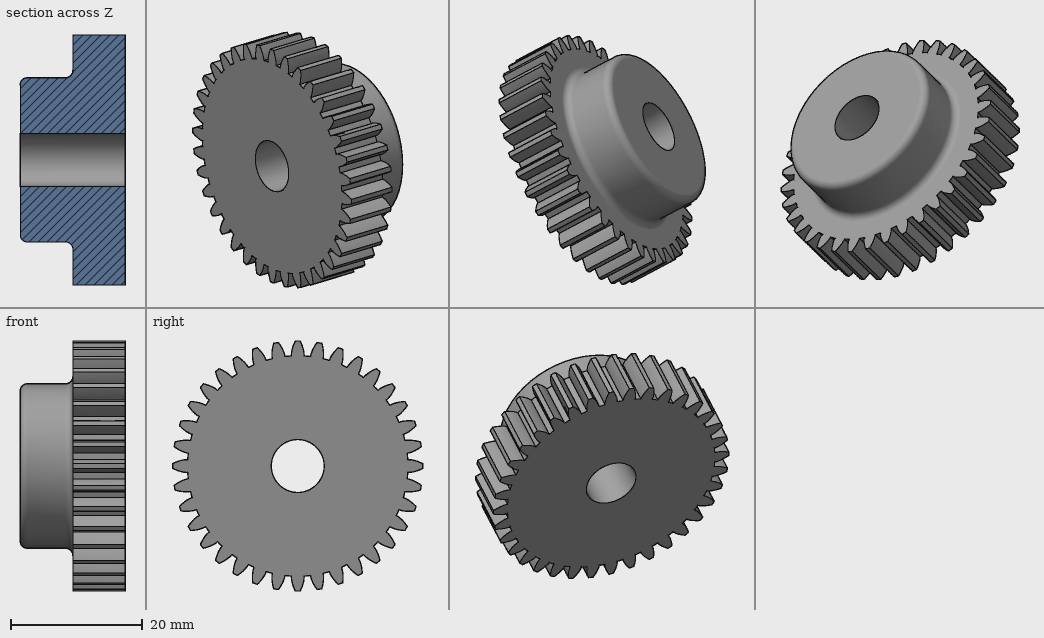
import cadquery as cq
import math

module = 1.0
tooth_count = 36
addendum = module
dedendum = 1.25 * module
pressure_angle = math.radians(20)
pitch_radius = module * tooth_count / 2
tip_radius = pitch_radius + addendum
root_radius = pitch_radius - dedendum
base_radius = pitch_radius * math.cos(pressure_angle)
tooth_pitch = 2 * math.pi / tooth_count
flank_points = 6

overall_length = 16.0
rim_width = 8.0
hub_length = overall_length - rim_width
hub_diameter = 25.0
hub_blend = 1.1
bore_diameter = 8.0

hub_end_x = -hub_length


def involute(angle):
    """Polar angle swept by the involute where its pressure angle is the given angle."""
    return math.tan(angle) - angle


def half_tooth_angle(radius):
    """Half the angle that a tooth spans at a radius on its involute flank."""
    flank_angle = math.acos(base_radius / radius)
    return tooth_pitch / 4 + involute(pressure_angle) - involute(flank_angle)


def polar(radius, angle):
    return (radius * math.cos(angle), radius * math.sin(angle))


def flank(centre, side):
    """Points up one involute flank, from the base circle to the tip circle."""
    step = (tip_radius - base_radius) / (flank_points - 1)
    radii = [base_radius + i * step for i in range(flank_points)]
    return [polar(r, centre + side * half_tooth_angle(r)) for r in radii]


def toothed_rim():
    """Spur gear with one tooth centred on +Y; flanks run radially below the base circle."""
    half_base = half_tooth_angle(base_radius)
    profile = cq.Workplane("YZ").moveTo(*polar(root_radius, -half_base))
    for i in range(tooth_count):
        centre = i * tooth_pitch
        rising = flank(centre, -1)
        falling = flank(centre, 1)[::-1]
        profile = profile.lineTo(*rising[0])
        profile = profile.spline(rising[1:], includeCurrent=True)
        profile = profile.threePointArc(polar(tip_radius, centre), falling[0])
        profile = profile.spline(falling[1:], includeCurrent=True)
        profile = profile.lineTo(*polar(root_radius, centre + half_base))
        gap_middle = polar(root_radius, centre + tooth_pitch / 2)
        next_tooth = polar(root_radius, centre + tooth_pitch - half_base)
        profile = profile.threePointArc(gap_middle, next_tooth)
    return profile.close().extrude(rim_width)


def hub():
    """Hub with a rounded outer edge and a concave blend into the rim, revolved about X."""
    radius = hub_diameter / 2
    arc_inset = hub_blend * (1 - math.sqrt(0.5))
    return (
        cq.Workplane("XY")
        .moveTo(0, 0)
        .lineTo(0, radius + hub_blend)
        .threePointArc((-arc_inset, radius + arc_inset), (-hub_blend, radius))
        .lineTo(hub_end_x + hub_blend, radius)
        .threePointArc((hub_end_x + arc_inset, radius - arc_inset), (hub_end_x, radius - hub_blend))
        .lineTo(hub_end_x, 0)
        .close()
        .revolve(360, (0, 0, 0), (1, 0, 0))
    )


def bore():
    """Through hole along the axis."""
    return cq.Workplane("YZ", origin=(hub_end_x, 0, 0)).circle(bore_diameter / 2).extrude(overall_length)


result = toothed_rim().union(hub()).cut(bore())